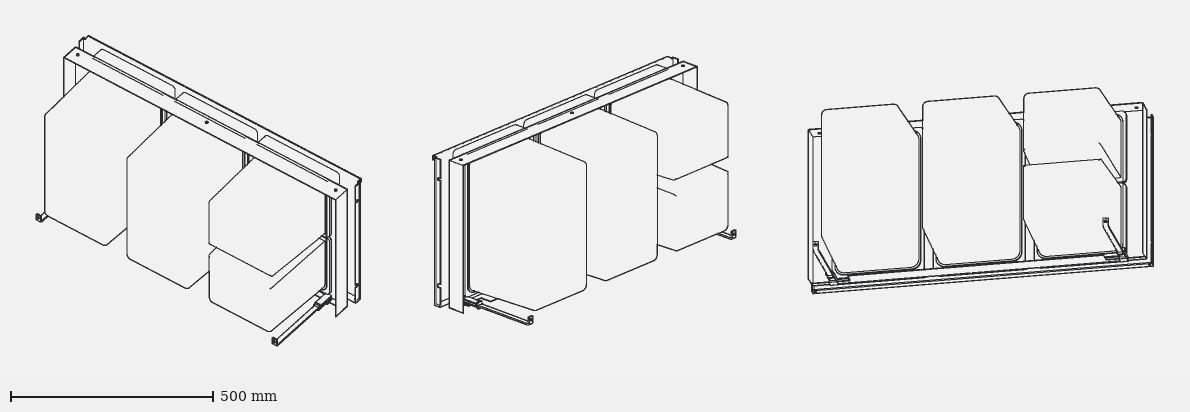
import cadquery as cq


COVER_WIDTH = 860.0
COVER_HEIGHT = 398.0
COVER_SHEET = 3.0
FLANGE_DEPTH = 19.0
FLANGE_HEIGHT = 397.0
FOLD_HEIGHT = 4.0
FOLD_RADIUS = 3.5

FRAME_WIDTH = 846.0
FRAME_TOP = 402.0
FRAME_BOTTOM = 3.0
FRAME_FRONT = -41.0
FRAME_DEPTH = 49.0
FRAME_SHEET = 2.0
FRAME_BEND_RADIUS = 3.0

BIN_PITCH = 255.0
RIM_WIDTH = 232.0
RIM_BOTTOM = 15.5
RIM_FRONT = -8.0
RIM_DEPTH = 41.0
BIN_END = -262.0

RUNNER_X = 366.0
ROD_WIDTH = 13.0
ROD_THICKNESS = 4.0
ROD_BOTTOM = 6.0
ROD_END = -267.5

HOOK_REACH = 13.0
HOOK_DROP = 13.0
HOOK_ROOT_RADIUS = 3.5
HOOK_LIP_RADIUS = 3.0
SLOT_DEPTH = 9.5
UPPER_SLOT_Z = 343.0
UPPER_SLOT_WIDTH = 6.0
LOWER_SLOT_Z = 57.0
LOWER_SLOT_WIDTH = 9.5
FLANGE_CORNER_CUT = 6.0
DRAIN_DIAMETER = 5.0
DRAIN_INSET = 8.0
DRAIN_Y = -10.0


def box(x_range, y_range, z_range):
    """Box between two corners given as one range per axis."""
    size = [high - low for low, high in (x_range, y_range, z_range)]
    corner = (x_range[0], y_range[0], z_range[0])
    return cq.Workplane("XY").box(*size, centered=False).translate(corner)


def edge_slot(z_center, width):
    """Round-ended slot through both side flanges, open at their free edge."""
    round_center_y = -FLANGE_DEPTH + SLOT_DEPTH - width / 2
    return (
        cq.Workplane("YZ")
        .center(round_center_y, z_center)
        .circle(width / 2)
        .extrude(COVER_WIDTH, both=True)
        .union(
            box(
                (-COVER_WIDTH, COVER_WIDTH),
                (-2 * FLANGE_DEPTH, round_center_y),
                (z_center - width / 2, z_center + width / 2),
            )
        )
    )


def make_hook():
    """Strip that bends out from the top of the cover plate and then turns down."""
    lip_bottom = COVER_HEIGHT - HOOK_DROP
    underside_z = COVER_HEIGHT - COVER_SHEET
    root_z = COVER_HEIGHT - HOOK_ROOT_RADIUS
    inner_radius = HOOK_ROOT_RADIUS - COVER_SHEET
    return (
        cq.Workplane("YZ")
        .moveTo(-COVER_SHEET, root_z)
        .radiusArc((inner_radius, COVER_HEIGHT), HOOK_ROOT_RADIUS)
        .lineTo(HOOK_REACH - HOOK_LIP_RADIUS, COVER_HEIGHT)
        .radiusArc((HOOK_REACH, COVER_HEIGHT - HOOK_LIP_RADIUS), HOOK_LIP_RADIUS)
        .lineTo(HOOK_REACH, lip_bottom)
        .lineTo(HOOK_REACH - COVER_SHEET, lip_bottom)
        .lineTo(HOOK_REACH - COVER_SHEET, underside_z)
        .lineTo(inner_radius, underside_z)
        .radiusArc((0, root_z), -inner_radius)
        .close()
        .extrude(FRAME_WIDTH / 2, both=True)
    )


def make_cover():
    half_width = COVER_WIDTH / 2
    inner_half_width = half_width - COVER_SHEET
    plate = box((-half_width, half_width), (-COVER_SHEET, 0), (0, COVER_HEIGHT - HOOK_ROOT_RADIUS))
    flange_profile = (
        cq.Workplane("YZ")
        .moveTo(0, 0)
        .lineTo(-FLANGE_DEPTH + FLANGE_CORNER_CUT, 0)
        .lineTo(-FLANGE_DEPTH, FLANGE_CORNER_CUT)
        .lineTo(-FLANGE_DEPTH, FLANGE_HEIGHT)
        .lineTo(0, FLANGE_HEIGHT)
        .close()
    )
    flange = flange_profile.extrude(COVER_SHEET)
    fold = box((-half_width, half_width), (-FLANGE_DEPTH, 0), (0, FOLD_HEIGHT))
    fold = fold.edges("|X and <Y and >Z").fillet(FOLD_RADIUS)
    drains = (
        cq.Workplane("XY")
        .pushPoints([(side * (half_width - DRAIN_INSET), DRAIN_Y) for side in (-1, 1)])
        .circle(DRAIN_DIAMETER / 2)
        .extrude(FOLD_HEIGHT)
    )
    cover = plate.union(fold.cut(drains))
    for flange_x in (-half_width, inner_half_width):
        cover = cover.union(flange.translate((flange_x, 0, 0)))
    cover = cover.cut(edge_slot(UPPER_SLOT_Z, UPPER_SLOT_WIDTH))
    cover = cover.cut(edge_slot(LOWER_SLOT_Z, LOWER_SLOT_WIDTH))
    return cover.union(make_hook())


FRAME_BACK = FRAME_FRONT - FRAME_DEPTH
FRAME_HOLE_DIAMETER = 7.0
FRAME_HOLE_PITCH = 401.0
FRAME_HOLE_Y = -62.0
RECESS_EDGE_X = 323.0
RECESS_BACK = -58.5


def make_frame(bins):
    half_width = FRAME_WIDTH / 2
    inner_half_width = half_width - FRAME_SHEET
    outer_y = (FRAME_BACK, FRAME_FRONT)
    inner_y = (FRAME_BACK, FRAME_FRONT - FRAME_SHEET)
    inner_z = (FRAME_BOTTOM + FRAME_SHEET, FRAME_TOP - FRAME_SHEET)
    frame = box((-half_width, half_width), outer_y, (FRAME_BOTTOM, FRAME_TOP))
    frame = frame.edges("|Y or >Y").fillet(FRAME_BEND_RADIUS)
    frame = frame.cut(box((-inner_half_width, inner_half_width), inner_y, inner_z))
    for one_bin in bins:
        frame = frame.cut(one_bin)
    for x_range in ((-inner_half_width, -RECESS_EDGE_X), (RECESS_EDGE_X, inner_half_width)):
        recess = box(x_range, (FRAME_BACK, RECESS_BACK), (FRAME_BOTTOM, FRAME_BOTTOM + FRAME_SHEET))
        frame = frame.cut(recess)
    holes = (
        cq.Workplane("XY", origin=(0, 0, FRAME_TOP - FRAME_SHEET))
        .pushPoints([(step * FRAME_HOLE_PITCH, FRAME_HOLE_Y) for step in (-1, 0, 1)])
        .circle(FRAME_HOLE_DIAMETER / 2)
        .extrude(FRAME_SHEET)
    )
    return frame.cut(holes)


RIM_TOP = FRAME_TOP - FRAME_SHEET
RIM_RADIUS = 10.0
COLLAR_INSET = 8.0
COLLAR_DEPTH = 3.5
COLLAR_RADIUS = 22.0
BODY_INSET = 12.0
SEAM_BODY_INSET = 11.0
BODY_RADIUS = 21.0
BODY_TAPER = 1.8
END_RADIUS = 5.0
SEAM_GAP = 3.0
SEAM_Z = 209.0


def stage(x_center, width, z_range, y_front, y_back, radius, round_corners, taper=0.0):
    """Rectangular stage of a bin, rounded at the corners that the selector names."""
    z_low, z_high = z_range
    outline = cq.Sketch().rect(width, z_high - z_low).vertices(round_corners).fillet(radius)
    return (
        cq.Workplane("XZ", origin=(x_center, y_front, (z_low + z_high) / 2))
        .placeSketch(outline)
        .extrude(y_front - y_back, taper=taper)
    )


def make_bin(x_center, z_range, seam_at=None):
    """Bin over a height range. A half bin names its seam side, 'low' or 'high':
    there the collar is flush with the rim and its corners are square."""
    z_low, z_high = z_range
    low_collar, low_body = COLLAR_INSET, BODY_INSET
    high_collar, high_body = COLLAR_INSET, BODY_INSET
    if seam_at == "low":
        low_collar, low_body = 0.0, SEAM_BODY_INSET
    if seam_at == "high":
        high_collar, high_body = 0.0, SEAM_BODY_INSET
    round_corners = {None: "<Y or >Y", "low": ">Y", "high": "<Y"}[seam_at]
    rim_back = RIM_FRONT - RIM_DEPTH
    collar_back = rim_back - COLLAR_DEPTH
    collar_width = RIM_WIDTH - 2 * COLLAR_INSET
    collar_z = (z_low + low_collar, z_high - high_collar)
    body_width = RIM_WIDTH - 2 * BODY_INSET
    body_z = (z_low + low_body, z_high - high_body)

    rim = stage(x_center, RIM_WIDTH, z_range, RIM_FRONT, rim_back, RIM_RADIUS, "<Y or >Y")
    collar = stage(
        x_center, collar_width, collar_z, rim_back, collar_back, COLLAR_RADIUS, round_corners
    )
    body = stage(
        x_center, body_width, body_z, collar_back, BIN_END, BODY_RADIUS, round_corners, BODY_TAPER
    )
    body = body.faces("<Y").edges().fillet(END_RADIUS)
    return rim.union(collar).union(body)


def make_bins():
    full_range = (RIM_BOTTOM, RIM_TOP)
    full_bins = [make_bin(x, full_range) for x in (-BIN_PITCH, 0)]
    upper_half = make_bin(BIN_PITCH, (SEAM_Z + SEAM_GAP / 2, RIM_TOP), "low")
    lower_half = make_bin(BIN_PITCH, (RIM_BOTTOM, SEAM_Z - SEAM_GAP / 2), "high")
    return full_bins + [upper_half, lower_half]


RUNNER_FRONT = -45.0
ROD_TIP = 28.0
BEND_RADIUS = 7.0
ROD_HOLE_DIAMETER = 6.0
ROD_HOLE_Z = 20.0


def make_rod(x_center):
    rod_top = ROD_BOTTOM + ROD_THICKNESS
    inner_radius = BEND_RADIUS - ROD_THICKNESS
    bend_y = ROD_END + BEND_RADIUS
    bend_z = ROD_BOTTOM + BEND_RADIUS
    rod = (
        cq.Workplane("YZ", origin=(x_center, 0, 0))
        .moveTo(RUNNER_FRONT, ROD_BOTTOM)
        .lineTo(bend_y, ROD_BOTTOM)
        .radiusArc((ROD_END, bend_z), BEND_RADIUS)
        .lineTo(ROD_END, ROD_TIP)
        .lineTo(ROD_END + ROD_THICKNESS, ROD_TIP)
        .lineTo(ROD_END + ROD_THICKNESS, bend_z)
        .radiusArc((bend_y, rod_top), -inner_radius)
        .lineTo(RUNNER_FRONT, rod_top)
        .close()
        .extrude(ROD_WIDTH / 2, both=True)
    )
    hole = (
        cq.Workplane("XZ", origin=(x_center, ROD_END + ROD_THICKNESS, ROD_HOLE_Z))
        .circle(ROD_HOLE_DIAMETER / 2)
        .extrude(ROD_THICKNESS)
    )
    return rod.cut(hole)


RAIL_WIDTH = 17.0
RAIL_TOP = 15.0
FOOT_SIZE = 21.0
END_PLATE_DEPTH = 5.0
END_PLATE_HEIGHT = 18.0
OUTER_TAB_REACH = 11.0
OUTER_TAB_Z = (9.0, 16.0)
INNER_TAB_REACH = 9.5
INNER_TAB_Z = (4.0, 10.0)


def make_rail(side):
    """Rail on one side of the frame: -1 for the left, 1 for the right."""
    x_center = side * RUNNER_X

    def across(width):
        return (x_center - width / 2, x_center + width / 2)

    def tab(reach, z_range):
        return box(sorted((x_center, x_center + reach)), plate_y, z_range)

    wall_top = FRAME_BOTTOM + FRAME_SHEET
    foot_back = RUNNER_FRONT - FOOT_SIZE
    plate_y = (FRAME_BACK - END_PLATE_DEPTH, FRAME_BACK)
    sleeve = box(across(RAIL_WIDTH), (FRAME_BACK, RUNNER_FRONT), (wall_top, RAIL_TOP))
    foot = box(across(FOOT_SIZE), (foot_back, RUNNER_FRONT), (0, FRAME_BOTTOM))
    post = box(across(RAIL_WIDTH), (foot_back, RECESS_BACK), (0, wall_top))
    end_plate = box(across(ROD_WIDTH), plate_y, (0, END_PLATE_HEIGHT))
    outer_tab = tab(side * OUTER_TAB_REACH, OUTER_TAB_Z)
    inner_tab = tab(-side * INNER_TAB_REACH, INNER_TAB_Z)
    rail = sleeve.union(foot).union(post).union(end_plate).union(outer_tab).union(inner_tab)
    return rail.cut(make_rod(x_center))


cover = make_cover()
bins = make_bins()
frame = make_frame(bins)
rods = [make_rod(side * RUNNER_X) for side in (-1, 1)]
rails = [make_rail(side) for side in (-1, 1)]

bodies = [cover, frame, *bins, *rods, *rails]
result = cq.Compound.makeCompound([body.solids().val() for body in bodies])